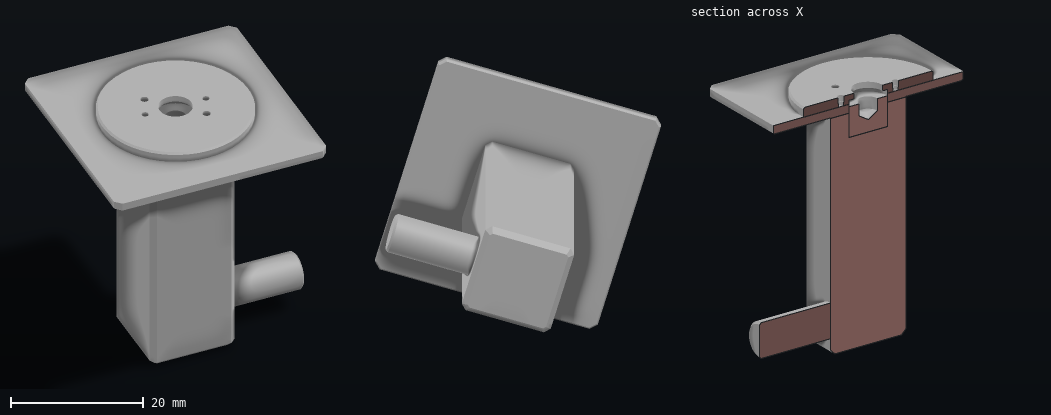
import cadquery as cq
import math

total_height = 42.1
disc_thickness = 1.55
plate_thickness = 1.47
plate_top = total_height - disc_thickness
column_height = plate_top - plate_thickness

plate_side = 35.0
plate_corner_chamfer = 1.0
plate_bottom_chamfer = 0.25

column_side = 13.98
column_chamfer = 0.85

disc_diameter = 24.0
disc_chamfer = 0.3
hole_circle_radius = 5.0
plain_hole_diameter = 1.25
stepped_hole_diameter = 1.1
stepped_hole_inner_diameter = 0.8
stepped_hole_step_depth = 1.0
plain_hole_angles = (45, 225)
stepped_hole_angles = (90, 270)

bore_diameter = 5.2
bore_rim_thickness = 1.0

shaft_diameter = 7.0
shaft_setback = 1.98
shaft_length = 5.05
drill_diameter = 3.3
drill_depth = 2.0
drill_tip_angle = 118.0
drill_tip_depth = drill_diameter / 2 / math.tan(math.radians(drill_tip_angle / 2))
shaft_top = total_height - shaft_setback
shaft_bottom = shaft_top - shaft_length

rod_diameter = 5.98
rod_chamfer = 0.35
rod_end_y = 37.5 - plate_side / 2
rod_length = rod_end_y - column_side / 2
rod_height = 5.7


def make_cylinder(diameter, bottom, top):
    """Vertical cylinder on the central axis between two heights."""
    return cq.Workplane("XY").workplane(offset=bottom).circle(diameter / 2).extrude(top - bottom)


def hole_cutters(angles, diameter, depth):
    """Cylinders on the hole circle, reaching down from the top of the disc."""
    places = [
        (
            hole_circle_radius * math.cos(math.radians(angle)),
            hole_circle_radius * math.sin(math.radians(angle)),
        )
        for angle in angles
    ]
    top_plane = cq.Workplane("XY").workplane(offset=total_height)
    return top_plane.pushPoints(places).circle(diameter / 2).extrude(-depth)


def make_column():
    """Square bar with chamfered long edges and foot, and a blind bore for the shaft."""
    bar = cq.Workplane("XY").rect(column_side, column_side).extrude(column_height)
    bar = bar.edges("|Z").chamfer(column_chamfer).faces("<Z").edges().chamfer(column_chamfer)
    return bar.cut(make_cylinder(shaft_diameter, shaft_bottom, column_height))


def make_plate():
    """Square plate with cut corners, a broken lower edge and the shaft bore."""
    plate = (
        cq.Workplane("XY")
        .workplane(offset=column_height)
        .rect(plate_side, plate_side)
        .extrude(plate_thickness)
        .edges("|Z")
        .chamfer(plate_corner_chamfer)
        .faces("<Z")
        .edges()
        .chamfer(plate_bottom_chamfer)
    )
    return plate.cut(make_cylinder(shaft_diameter, column_height, plate_top))


def make_disc():
    """Disc with a chamfered rim, stepped central bore, two plain and two stepped holes."""
    disc = make_cylinder(disc_diameter, plate_top, total_height)
    disc = disc.faces(">Z").edges().chamfer(disc_chamfer)
    disc = disc.cut(make_cylinder(bore_diameter, plate_top, total_height))
    disc = disc.cut(make_cylinder(shaft_diameter, plate_top, total_height - bore_rim_thickness))
    disc = disc.cut(hole_cutters(plain_hole_angles, plain_hole_diameter, disc_thickness))
    disc = disc.cut(hole_cutters(stepped_hole_angles, stepped_hole_diameter, stepped_hole_step_depth))
    return disc.cut(hole_cutters(stepped_hole_angles, stepped_hole_inner_diameter, disc_thickness))


def make_shaft():
    """Round shaft with a blind drilled hole, ending in a cone, in its top face."""
    shaft = make_cylinder(shaft_diameter, shaft_bottom, shaft_top)
    tip_base = shaft_top - drill_depth
    shaft = shaft.cut(make_cylinder(drill_diameter, tip_base, shaft_top))
    tip = cq.Solid.makeCone(
        drill_diameter / 2,
        0,
        drill_tip_depth,
        pnt=cq.Vector(0, 0, tip_base),
        dir=cq.Vector(0, 0, -1),
    )
    return shaft.cut(cq.Workplane(tip))


def make_rod():
    """Rod pointing along +Y from the back face of the column, chamfered at its free end."""
    rod = (
        cq.Workplane("XZ", origin=(0, column_side / 2, rod_height))
        .circle(rod_diameter / 2)
        .extrude(-rod_length)
    )
    return rod.faces(">Y").edges().chamfer(rod_chamfer)


column = make_column()
plate = make_plate()
disc = make_disc()
shaft = make_shaft()
rod = make_rod()

result = cq.Compound.makeCompound([column.val(), plate.val(), disc.val(), shaft.val(), rod.val()])